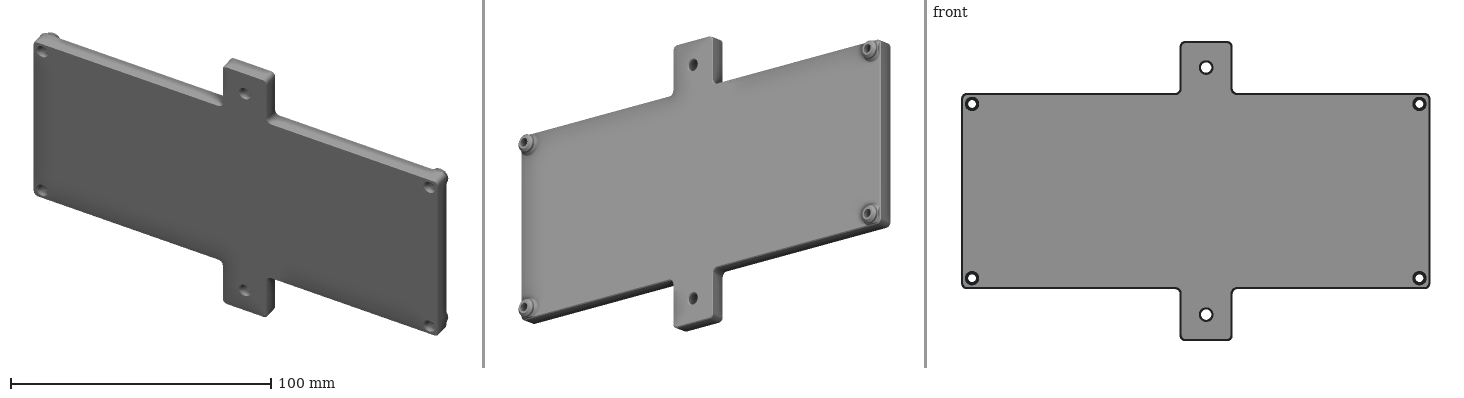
import cadquery as cq

plate_length = 180.0
plate_height = 75.0
plate_thickness = 6.5
corner_radius = 2.0
edge_chamfer = 0.4

overall_height = 115.0
tab_width = 20.0
tab_offset = 4.0
tab_length = (overall_height - plate_height) / 2
tab_hole_diameter = 4.4
tab_hole_spacing = overall_height - tab_length

standoff_height = 3.0
standoff_diameter = 7.0
root_flare = 1.0
standoff_tip_chamfer = 1.0
standoff_embed = 1.0
screw_hole_diameter = 3.4
screw_bore_diameter = 4.3
screw_bore_depth = 4.0
screw_inset = 4.0
screw_spacing_x = plate_length - 2 * screw_inset
screw_spacing_z = plate_height - 2 * screw_inset

mouth_chamfer = 0.4

front_y = -plate_thickness / 2
back_y = plate_thickness / 2
standoff_tip_y = back_y + standoff_height

tab_hole_points = [(tab_offset, side * tab_hole_spacing / 2) for side in (-1, 1)]
screw_points = [
    (side_x * screw_spacing_x / 2, side_z * screw_spacing_z / 2)
    for side_x in (-1, 1)
    for side_z in (-1, 1)
]


def make_plate():
    """Cross-shaped plate with rounded corners and chamfered front and back edges."""
    body = cq.Workplane("XY").box(plate_length, plate_thickness, plate_height)
    tabs = cq.Workplane("XY").box(tab_width, plate_thickness, overall_height)
    plate = body.union(tabs.translate((tab_offset, 0, 0)))
    plate = plate.edges("|Y").fillet(corner_radius)
    return plate.faces("<Y or >Y").edges().chamfer(edge_chamfer)


def revolve_about_y(profile, center):
    """Turn (radius, y) points about the Y-parallel axis through an (x, z) center."""
    turned = cq.Workplane("XY").polyline(profile).close().revolve(360, (0, 0), (0, 1))
    return turned.translate((center[0], 0, center[1]))


def make_standoff(center):
    """Round standoff with a chamfered tip and a root flare trimmed to the flat of the back face."""
    radius = standoff_diameter / 2
    profile = [
        (0, back_y - standoff_embed),
        (radius, back_y - standoff_embed),
        (radius, back_y),
        (radius + root_flare, back_y),
        (radius, back_y + root_flare),
        (radius, standoff_tip_y - standoff_tip_chamfer),
        (radius - standoff_tip_chamfer, standoff_tip_y),
        (0, standoff_tip_y),
    ]
    back_flat = cq.Workplane("XY").box(
        plate_length - 2 * edge_chamfer,
        2 * standoff_tip_y,
        plate_height - 2 * edge_chamfer,
    )
    return revolve_about_y(profile, center).intersect(back_flat)


def make_tab_hole(center):
    """Through-hole cutter for a tab, with a countersunk mouth on both faces."""
    radius = tab_hole_diameter / 2
    profile = [
        (0, front_y),
        (radius + mouth_chamfer, front_y),
        (radius, front_y + mouth_chamfer),
        (radius, back_y - mouth_chamfer),
        (radius + mouth_chamfer, back_y),
        (0, back_y),
    ]
    return revolve_about_y(profile, center)


def make_screw_hole(center):
    """Through-hole cutter for a standoff, with a wider bore and countersunk mouth in front."""
    hole_radius = screw_hole_diameter / 2
    bore_radius = screw_bore_diameter / 2
    bore_floor_y = front_y + screw_bore_depth
    profile = [
        (0, front_y),
        (bore_radius + mouth_chamfer, front_y),
        (bore_radius, front_y + mouth_chamfer),
        (bore_radius, bore_floor_y),
        (hole_radius, bore_floor_y),
        (hole_radius, standoff_tip_y),
        (0, standoff_tip_y),
    ]
    return revolve_about_y(profile, center)


result = make_plate()
for point in screw_points:
    result = result.union(make_standoff(point))
for point in screw_points:
    result = result.cut(make_screw_hole(point))
for point in tab_hole_points:
    result = result.cut(make_tab_hole(point))